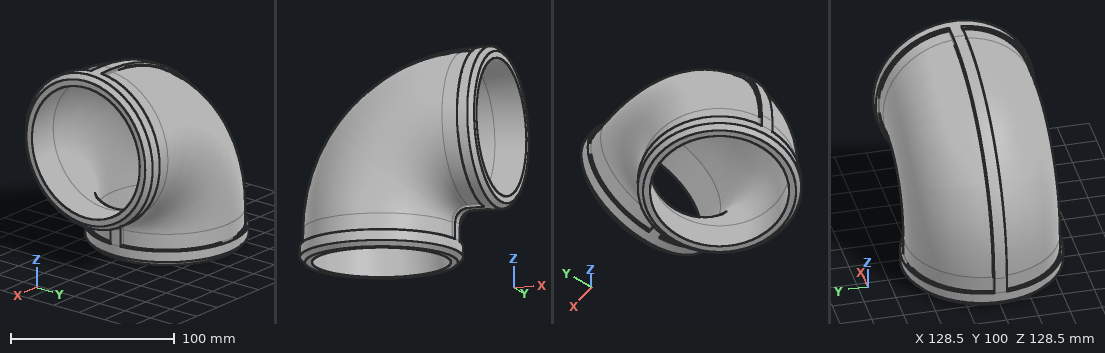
import cadquery as cq

overall_length = 128.5
collar_diameter = 100.0
bore_diameter = 84.9

body_diameter = 95.8
straight_length = 20.5

collar_length = 10.0
collar_chamfer = 3.2
rib_width = 8.0
root_fillet = 0.5
position_tolerance = 0.01

outer_radius = collar_diameter / 2
bend_radius = overall_length - outer_radius - straight_length
axis_height = straight_length + bend_radius
end_x = bend_radius + straight_length


def elbow_axis(setback):
    """Centre line of the elbow, with both ends held back by the setback."""
    return (
        cq.Workplane("XZ")
        .moveTo(0, setback)
        .lineTo(0, straight_length)
        .radiusArc((bend_radius, axis_height), bend_radius)
        .lineTo(end_x - setback, axis_height)
        .wire()
    )


def elbow(diameter, setback):
    """Solid round bar along the elbow axis."""
    profile = cq.Workplane("XY", origin=(0, 0, setback)).circle(diameter / 2)
    return profile.sweep(elbow_axis(setback))


def rib():
    """Flat-sided band in the elbow's plane of symmetry, between the two collars."""
    slab_side = 2 * overall_length
    slab = cq.Workplane("XY").box(slab_side, rib_width, slab_side)
    return elbow(collar_diameter, collar_length).intersect(slab)


def bottom_collar():
    return (
        cq.Workplane("XY")
        .circle(outer_radius)
        .extrude(collar_length)
        .faces("<Z")
        .chamfer(collar_chamfer)
    )


def side_collar():
    return (
        cq.Workplane("YZ", origin=(end_x, 0, axis_height))
        .circle(outer_radius)
        .extrude(-collar_length)
        .faces(">X")
        .chamfer(collar_chamfer)
    )


def is_root_edge(edge):
    """True where the pipe body meets a rib side or a collar shoulder."""
    middle = edge.positionAt(0.5)
    axis = elbow_axis(0).val()
    axis_distance = cq.Vertex.makeVertex(*middle.toTuple()).distance(axis)
    body_gap = abs(axis_distance - body_diameter / 2)
    step_gap = min(
        abs(abs(middle.y) - rib_width / 2),
        abs(middle.z - collar_length),
        abs(middle.x - (end_x - collar_length)),
    )
    return max(body_gap, step_gap) < position_tolerance


elbow_outside = (
    elbow(body_diameter, collar_length)
    .union(rib())
    .union(bottom_collar())
    .union(side_collar())
)
root_edges = elbow_outside.edges().filter(is_root_edge)

result = root_edges.fillet(root_fillet).cut(elbow(bore_diameter, 0))